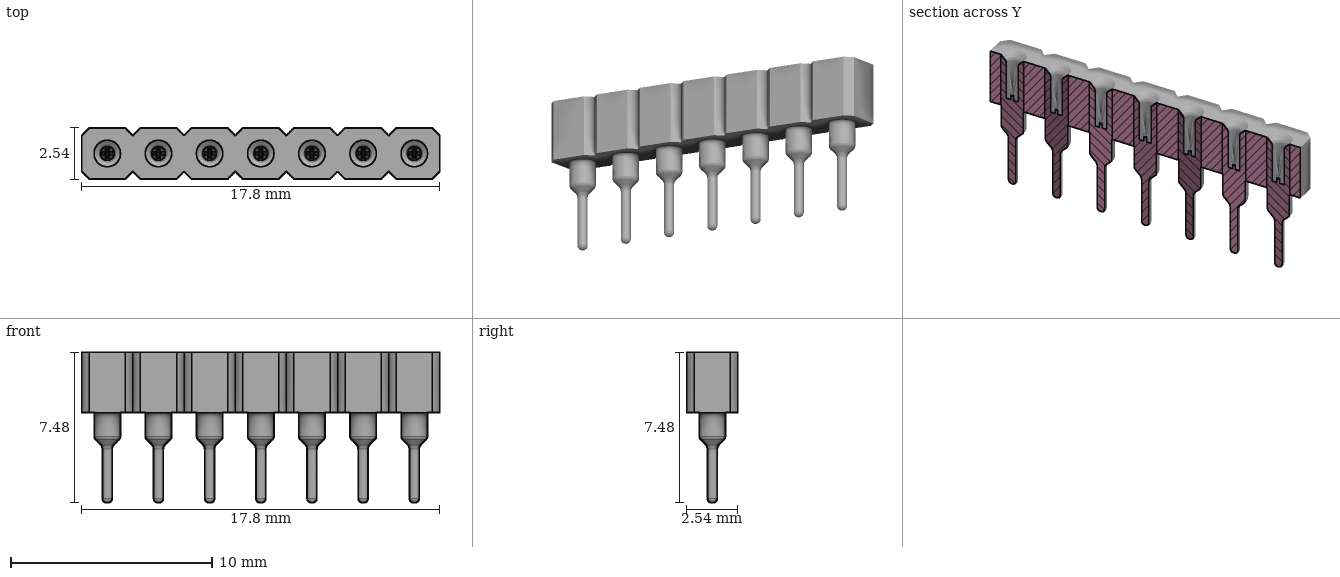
import cadquery as cq


CONTACT_COUNT = 7
HOUSING_LENGTH = 17.78
PITCH = HOUSING_LENGTH / CONTACT_COUNT
HOUSING_WIDTH = PITCH
HOUSING_HEIGHT = 3.0
CORNER_CUT = 0.37

SLEEVE_RADIUS = 0.65
SLEEVE_STICKOUT = 1.26
TAIL_RADIUS = 0.25
TAIL_TIP_DEPTH = 4.48
SHOULDER_TOP_ROUND = 0.2
SHOULDER_BOTTOM_ROUND = 0.3
TIP_ROUND = 0.23

BORE_RADIUS = 0.34
THROAT_ROUND = 0.23
SOCKET_DEPTH = 2.49
FINGER_WIDTH = 0.2
FINGER_START_DEPTH = 0.75
FINGER_GAP_RADIUS = 0.07

SLEEVE_BOTTOM = -SLEEVE_STICKOUT
SHOULDER_BOTTOM = SLEEVE_BOTTOM - (SLEEVE_RADIUS - TAIL_RADIUS)
THROAT_Z = HOUSING_HEIGHT - (SLEEVE_RADIUS - BORE_RADIUS)
SOCKET_FLOOR = HOUSING_HEIGHT - SOCKET_DEPTH
FINGER_TOP = HOUSING_HEIGHT - FINGER_START_DEPTH

CONTACT_POSITIONS = [
    (i - (CONTACT_COUNT - 1) / 2) * PITCH for i in range(CONTACT_COUNT)
]


def revolve_profile(points):
    """Revolve a closed (radius, z) outline about the Z axis."""
    return cq.Workplane("XZ").polyline(points).close().revolve(360, (0, 0), (0, 1))


def round_edge(body, radius, z, rounding):
    """Round the circular edge that has the given radius and height."""
    reach = 0.02
    box = cq.selectors.BoxSelector(
        (-radius - reach, -radius - reach, z - reach),
        (radius + reach, radius + reach, z + reach),
        boundingbox=True,
    )
    return body.edges("%CIRCLE").edges(box).fillet(rounding)


def make_housing():
    """Row of square cells with cut corners, which leaves V notches between neighbours."""
    half_cell = PITCH / 2
    half_width = HOUSING_WIDTH / 2
    flat = half_cell - CORNER_CUT
    corner_y = half_width - CORNER_CUT

    front_edge = []
    for x in CONTACT_POSITIONS:
        front_edge += [(x - half_cell, -corner_y), (x - flat, -half_width), (x + flat, -half_width)]
    front_edge.append((HOUSING_LENGTH / 2, -corner_y))
    back_edge = [(x, -y) for x, y in reversed(front_edge)]

    block = cq.Workplane("XY").polyline(front_edge + back_edge).close().extrude(HOUSING_HEIGHT)
    contact_holes = (
        cq.Workplane("XY")
        .pushPoints([(x, 0) for x in CONTACT_POSITIONS])
        .circle(SLEEVE_RADIUS)
        .extrude(HOUSING_HEIGHT)
    )
    return block.cut(contact_holes).solids()


def make_contact_shell():
    """Turned contact: sleeve, 45 degree shoulder, round-tipped tail and blind socket."""
    shell = revolve_profile([
        (0, -TAIL_TIP_DEPTH),
        (TAIL_RADIUS, -TAIL_TIP_DEPTH),
        (TAIL_RADIUS, SHOULDER_BOTTOM),
        (SLEEVE_RADIUS, SLEEVE_BOTTOM),
        (SLEEVE_RADIUS, HOUSING_HEIGHT),
        (BORE_RADIUS, THROAT_Z),
        (BORE_RADIUS, SOCKET_FLOOR),
        (0, SOCKET_FLOOR),
    ])
    shell = round_edge(shell, TAIL_RADIUS, -TAIL_TIP_DEPTH, TIP_ROUND)
    shell = round_edge(shell, TAIL_RADIUS, SHOULDER_BOTTOM, SHOULDER_BOTTOM_ROUND)
    shell = round_edge(shell, SLEEVE_RADIUS, SLEEVE_BOTTOM, SHOULDER_TOP_ROUND)
    return round_edge(shell, BORE_RADIUS, THROAT_Z, THROAT_ROUND)


def make_fingers():
    """Four spring fingers that lean inward from the bore wall down to the socket floor."""
    funnel = revolve_profile([
        (BORE_RADIUS, FINGER_TOP),
        (BORE_RADIUS, SOCKET_FLOOR),
        (FINGER_GAP_RADIUS, SOCKET_FLOOR),
    ])
    bar = (
        cq.Workplane("XY", origin=(0, 0, SOCKET_FLOOR))
        .rect(2 * BORE_RADIUS, FINGER_WIDTH)
        .extrude(SOCKET_DEPTH)
    )
    cross = bar.union(bar.rotate((0, 0, 0), (0, 0, 1), 90))
    return funnel.intersect(cross)


def make_contact(x):
    """One contact, shell and fingers in a single solid, on the row at x."""
    contact = make_contact_shell().union(make_fingers())
    return contact.translate((x, 0, 0)).solids()


housing = make_housing()
contacts = [make_contact(x) for x in CONTACT_POSITIONS]

result = cq.Compound.makeCompound([housing.val(), *[contact.val() for contact in contacts]])